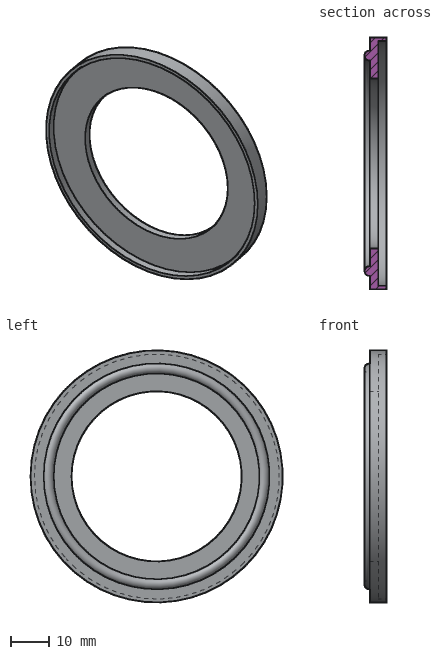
import cadquery as cq

outer_diameter = 66.0
bore_diameter = 44.4
overall_thickness = 5.8

bead_height = 1.45
bead_radius = 1.3
bead_center_diameter = 56.4

ring_thickness = overall_thickness - bead_height

recess_diameter = 64.0
recess_depth = ring_thickness / 2


def make_ring():
    """Flat ring with its bead-side face at x = 0."""
    return (
        cq.Workplane("YZ")
        .circle(outer_diameter / 2)
        .circle(bore_diameter / 2)
        .extrude(ring_thickness)
    )


def make_recess():
    """Disc removed from the +X face."""
    return (
        cq.Workplane("YZ", origin=(ring_thickness - recess_depth, 0, 0))
        .circle(recess_diameter / 2)
        .extrude(recess_depth)
    )


def make_bead():
    """Half-round section on short straight sides, revolved around the X axis."""
    center_radius = bead_center_diameter / 2
    inner_radius = center_radius - bead_radius
    outer_radius = center_radius + bead_radius
    shoulder_x = bead_radius - bead_height
    return (
        cq.Workplane("XY")
        .moveTo(0, inner_radius)
        .lineTo(shoulder_x, inner_radius)
        .threePointArc((-bead_height, center_radius), (shoulder_x, outer_radius))
        .lineTo(0, outer_radius)
        .close()
        .revolve(360, (0, 0), (1, 0))
    )


result = make_ring().cut(make_recess()).union(make_bead())